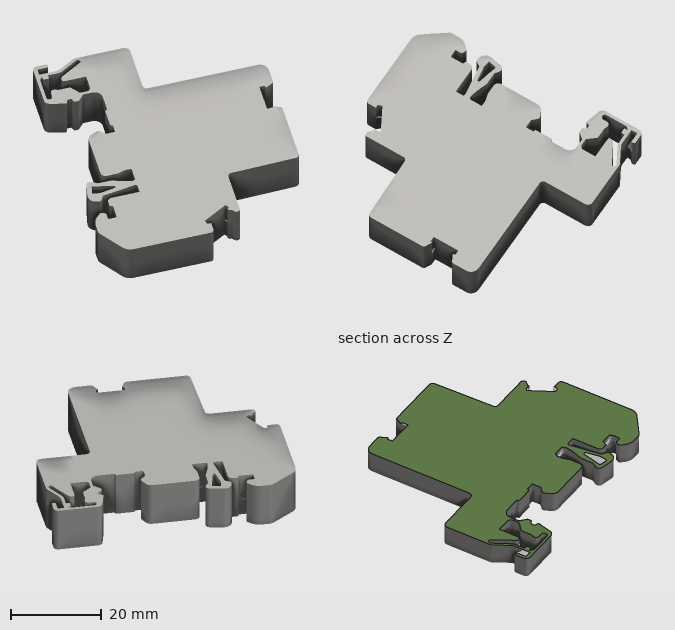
import cadquery as cq
import math


length = 55.5
height = 50.0
thickness = 10.0

tower_left = 12.4
shoulder_y = 22.0
tower_right_top = 40.0
tower_right_bottom = 40.4
arm_top = 33.42
arm_end = 51.3
end_wall_top = 26.3

rail_seat_y = 12.75
rail_pad_y = 12.2
rail_seat_left = 10.35
rail_seat_right = 22.4
block_bottom = 6.55
spring_slot_y = 13.45
spring_slot_left = 33.45
spring_slot_right = 40.2
hook_pad_y = 6.75
hook_stop_x = 42.5
hook_stop_y = 6.05
hook_bottom = 1.65

foot_bar_top = 0.75
latch_ledge_y = 2.75
latch_arm_left = 2.4
latch_arm_right = 3.1

pocket_depth = thickness / 2
dimple_diameter = 2.7
dimple_depth = 0.5
spring_dimple_x = 35.15
hook_dimple_x = 44.25

shortest_edge = 1e-6


def rounded_wire(corners):
    """Closed wire through (x, y, radius) corners; each radius blends its two neighbouring edges."""
    stations = []
    for index, (x, y, radius) in enumerate(corners):
        before = corners[index - 1]
        after = corners[(index + 1) % len(corners)]
        corner = cq.Vector(x, y)
        to_before = (cq.Vector(before[0], before[1]) - corner).normalized()
        to_after = (cq.Vector(after[0], after[1]) - corner).normalized()
        half_angle = to_before.getAngle(to_after) / 2
        setback = radius / math.tan(half_angle)
        bisector = (to_before + to_after).normalized()
        middle = corner + bisector * (radius / math.sin(half_angle) - radius)
        stations.append((corner + to_before * setback, middle, corner + to_after * setback, radius))

    edges = []
    for index, (start, middle, end, radius) in enumerate(stations):
        previous_end = stations[index - 1][2]
        if (start - previous_end).Length > shortest_edge:
            edges.append(cq.Edge.makeLine(previous_end, start))
        if radius > 0:
            edges.append(cq.Edge.makeThreePointArc(start, middle, end))
    return cq.Wire.assembleEdges(edges)


def prism(corners, bottom=0.0, depth=thickness):
    """Solid with a rounded outline, rising by depth from the level bottom."""
    solid = cq.Solid.extrudeLinear(rounded_wire(corners), [], cq.Vector(0, 0, depth))
    return cq.Workplane(solid.translate(cq.Vector(0, 0, bottom)))


def blind_pocket(corners):
    """Cutter that enters from the top face."""
    return prism(corners, thickness - pocket_depth, pocket_depth)


def housing_outline():
    """Clockwise outer profile, from the left wall over the tower and back along the feet."""
    upper_body = [
        (0, 9.53, 1.1),
        (0, shoulder_y, 1.2),
        (tower_left, shoulder_y, 0.95),
        (tower_left, height, 2.0),
        (18.1, height, 0.5),
        (19.1, 48.05, 0),
        (18.9, 47.9, 0),
        (18.9, 46.7, 0),
        (24.5, 46.7, 0),
        (24.5, 48.2, 0),
        (25.4, height, 0.5),
        (tower_right_top, height, 0.9),
        (tower_right_bottom, arm_top, 0.8),
        (arm_end, arm_top, 0.6),
        (arm_end, 32.4, 0.3),
        (50.4, 31.5, 0.1),
        (50.5, 31.25, 0.1),
        (50.05, 30.8, 0.1),
        (49.75, 30.95, 0),
        (49.3, 30.6, 0),
        (49.0, 30.35, 0),
        (51.8, 25.3, 0),
        (52.75, 26.15, 0),
        (52.85, end_wall_top, 0),
        (length, end_wall_top, 0.8),
    ]
    hook_foot = [
        (length, 6.45, 2.85),
        (49.0, hook_bottom, 1.2),
        (45.4, hook_bottom, 3.2),
        (43.65, 3.6, 0.5),
        (44.15, 4.75, 0.6),
        (45.8, 4.75, 0.2),
        (45.8, hook_pad_y, 0.4),
        (hook_stop_x, hook_pad_y, 0.2),
        (hook_stop_x, hook_stop_y, 0.45),
        (spring_slot_right, hook_stop_y, 0.95),
    ]
    spring_foot = [
        (spring_slot_right, spring_slot_y, 0),
        (38.0, spring_slot_y, 0.4),
        (39.15, 5.4, 0.3),
        (40.5, 4.6, 0.4),
        (40.25, 1.65, 1.95),
        (34.0, 3.0, 0.9),
        (35.45, 5.2, 0),
        (35.45, 8.3, 1.5),
        (36.4, 11.0, 1.5),
        (36.9, spring_slot_y, 0.5),
        (spring_slot_left, spring_slot_y, 0),
    ]
    center_block = [
        (spring_slot_left, 11.9, 0.5),
        (33.95, 10.2, 0.5),
        (33.95, block_bottom, 1.2),
        (22.3, block_bottom, 1.5),
        (20.95, 9.3, 0.9),
        (rail_seat_right, 10.65, 0),
        (rail_seat_right, rail_seat_y, 0),
    ]
    rail_seat = [
        (20.5, rail_seat_y, 0),
        (20.3, rail_pad_y, 0),
        (16.1, rail_pad_y, 0),
        (15.9, rail_seat_y, 0),
        (rail_seat_left, rail_seat_y, 1.85),
    ]
    fixed_foot = [
        (rail_seat_left, 8.75, 0),
        (11.85, 7.4, 0.3),
        (11.85, 6.3, 0.4),
        (10.9, 6.0, 0.2),
        (10.9, 4.95, 0.3),
        (11.9, 4.6, 0.2),
        (10.7, 0, 1.3),
        (0, 0, 1.0),
        (0, 3.45, 0.4),
        (0.75, 3.45, 0.2),
        (1.6, latch_ledge_y, 0.5),
        (latch_arm_left, latch_ledge_y, 0),
        (latch_arm_left, 5.3, 2.85),
    ]
    return upper_body + hook_foot + spring_foot + center_block + rail_seat + fixed_foot


def latch_window():
    """Opening that frees the latch arm and the fixed foot's inner side."""
    return [
        (latch_arm_right, 5.55, 2.15),
        (0.5, 10.2, 0.4),
        (1.2, 10.95, 0.4),
        (4.45, 5.32, 0.6),
        (5.65, 5.32, 0.6),
        (5.65, 10.75, 0),
        (9.7, 10.75, 0.95),
        (9.7, 8.25, 0.5),
        (7.65, 6.55, 0.5),
        (7.65, 3.9, 0.3),
        (7.0, 2.05, 0.8),
        (9.7, 2.05, 0.6),
        (9.7, foot_bar_top, 0.6),
        (3.8, foot_bar_top, 0.5),
        (3.1, 1.4, 0),
        (4.0, 1.4, 0.2),
        (4.0, latch_ledge_y, 0.2),
        (latch_arm_right, latch_ledge_y, 0),
    ]


def spring_foot_pocket():
    """Tapered blind pocket inside the spring foot."""
    return [
        (37.45, 9.9, 0.3),
        (35.95, 3.7, 0),
        (37.95, 3.25, 0),
        (38.25, 5.0, 0.5),
    ]


def tower_notch_undercuts():
    """Blind recesses under the two lips of the tower's top notch."""
    left = [
        (18.9, 46.7, 0),
        (18.53, 46.7, 0.15),
        (18.53, 47.95, 0.15),
        (18.9, 47.95, 0),
    ]
    right = [
        (24.5, 46.7, 0),
        (24.9, 46.7, 0),
        (24.9, 48.05, 0),
        (24.5, 48.05, 0),
    ]
    return [left, right]


def end_notch_undercuts():
    """Blind recesses under the two lips of the sloping end notch."""
    upper = [
        (49.0, 30.35, 0),
        (48.8, 30.7, 0),
        (49.7, 31.25, 0),
        (49.75, 30.95, 0),
    ]
    lower = [
        (51.8, 25.3, 0),
        (51.85, 25.2, 0),
        (52.3, 25.2, 0),
        (52.9, 25.55, 0),
        (52.9, 26.15, 0),
        (52.75, 26.15, 0),
    ]
    return [upper, lower]


def latch_pocket():
    """Blind pocket beside the latch arm, open toward the latch ledge."""
    return [
        (0.9, 0.95, 0),
        (latch_arm_left, 0.95, 0),
        (latch_arm_left, 4.0, 0),
        (0.9, 4.0, 0),
    ]


def dimple(x, wall_y):
    """Shallow round recess in a wall that faces -Y, at half thickness."""
    return cq.Workplane(
        cq.Solid.makeCylinder(
            dimple_diameter / 2, dimple_depth, cq.Vector(x, wall_y, thickness / 2), cq.Vector(0, 1, 0)
        )
    )


result = prism(housing_outline())
result = result.cut(prism(latch_window()))
for pocket in [spring_foot_pocket(), latch_pocket()] + tower_notch_undercuts() + end_notch_undercuts():
    result = result.cut(blind_pocket(pocket))
result = result.cut(dimple(spring_dimple_x, spring_slot_y))
result = result.cut(dimple(hook_dimple_x, hook_pad_y))